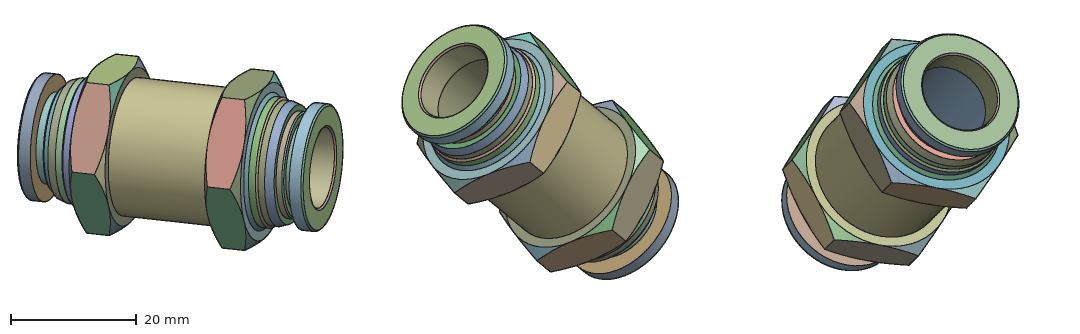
import cadquery as cq
import math

LENGTH = 48.0

FLANGE_DIA = 20.5
FLANGE_THICKNESS = 2.25
FLANGE_CHAMFER = 0.3
NECK_DIA = 14.8
SLEEVE_LENGTH = 5.0
BORE_DIA = 13.0
BORE_CHAMFER = 0.3

LIP_START = 3.8
LIP_DIA = 17.3
LIP_CHAMFER = 0.25
TAPER_START = 5.0
TAPER_START_DIA = 19.25
TAPER_END = 6.45
RING_DIA = 20.2
SHOULDER_START = 7.55
SHOULDER_START_DIA = 20.25
SHOULDER_CHAMFER_LENGTH = 0.3
SHOULDER_DIA = 21.0
BARREL_DIA = 22.2
CENTRE_WALL = 1.9

NUT_START = 9.6
NUT_WIDTH = 6.05
NUT_ACROSS_FLATS = 25.4
NUT_CHAMFER_ANGLE = 30.0

END_X = LENGTH / 2
SIDES = (-1, 1)


def revolve_about_x(profile):
    """Revolve a closed (x, radius) profile about the X axis."""
    return cq.Workplane("XY").polyline(profile).close().revolve(360, (0, 0, 0), (1, 0, 0))


def cylinder(diameter, start_x, end_x):
    return cq.Workplane("YZ", origin=(start_x, 0, 0)).circle(diameter / 2).extrude(end_x - start_x)


def on_side(body, side):
    """Keep a body built at the -X end, or mirror it to the +X end."""
    return body if side < 0 else body.mirror("YZ")


def make_housing():
    shoulder_end = NUT_START - (BARREL_DIA - SHOULDER_DIA) / 2

    steps = [
        (LIP_START, LIP_DIA - 2 * LIP_CHAMFER),
        (LIP_START + LIP_CHAMFER, LIP_DIA),
        (TAPER_START, LIP_DIA),
        (TAPER_START, TAPER_START_DIA),
        (TAPER_END, RING_DIA),
        (SHOULDER_START, RING_DIA),
        (SHOULDER_START, SHOULDER_START_DIA),
        (SHOULDER_START + SHOULDER_CHAMFER_LENGTH, SHOULDER_DIA),
        (shoulder_end, SHOULDER_DIA),
        (NUT_START, BARREL_DIA),
    ]
    left = [(distance - END_X, diameter / 2) for distance, diameter in steps]
    right = [(-x, radius) for x, radius in reversed(left)]
    axis_ends = [(END_X - LIP_START, 0), (LIP_START - END_X, 0)]
    housing = revolve_about_x(left + right + axis_ends)

    bore = cylinder(BORE_DIA, -END_X, -CENTRE_WALL / 2)
    seat = cylinder(NECK_DIA, -END_X, SLEEVE_LENGTH - END_X)
    for side in SIDES:
        housing = housing.cut(on_side(bore, side)).cut(on_side(seat, side))
    return housing


def make_sleeve(side):
    flange = cylinder(FLANGE_DIA, -END_X, FLANGE_THICKNESS - END_X)
    flange = flange.faces("<X").chamfer(FLANGE_CHAMFER)
    neck = cylinder(NECK_DIA, -END_X, SLEEVE_LENGTH - END_X)
    bore = cylinder(BORE_DIA, -END_X, SLEEVE_LENGTH - END_X)
    sleeve = flange.union(neck).cut(bore)
    mouth_edge = cq.selectors.RadiusNthSelector(0)
    sleeve = sleeve.faces("<X").edges(mouth_edge).chamfer(BORE_CHAMFER)
    return on_side(sleeve, side)


def make_nut(side):
    start_x = NUT_START - END_X
    end_x = start_x + NUT_WIDTH
    flat_radius = NUT_ACROSS_FLATS / 2
    corner_radius = flat_radius / math.cos(math.pi / 6)
    chamfer_length = (corner_radius - flat_radius) * math.tan(math.radians(NUT_CHAMFER_ANGLE))

    hexagon = (
        cq.Workplane("YZ", origin=(start_x, 0, 0))
        .polygon(6, 2 * corner_radius)
        .extrude(NUT_WIDTH)
    )
    cone_envelope = revolve_about_x([
        (start_x, 0),
        (start_x, flat_radius),
        (start_x + chamfer_length, corner_radius),
        (end_x - chamfer_length, corner_radius),
        (end_x, flat_radius),
        (end_x, 0),
    ])
    barrel_hole = cylinder(BARREL_DIA, start_x, end_x)
    return on_side(hexagon.intersect(cone_envelope).cut(barrel_hole), side)


housing = make_housing()
nuts = [make_nut(side) for side in SIDES]
sleeves = [make_sleeve(side) for side in SIDES]

result = cq.Compound.makeCompound([
    housing.val(),
    *[nut.val() for nut in nuts],
    *[sleeve.val() for sleeve in sleeves],
])